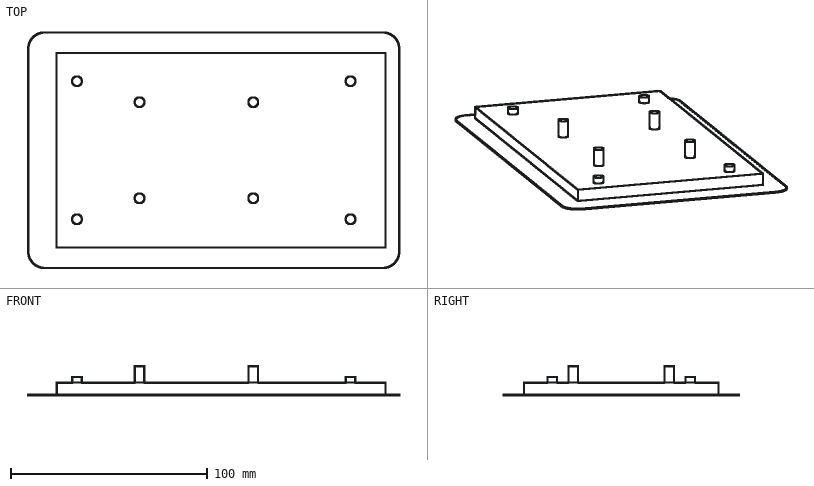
import cadquery as cq

PLATE_LENGTH = 189.32
PLATE_WIDTH = 120.24
PLATE_THICKNESS = 0.5
PLATE_CORNER_RADIUS = 8.5

BLOCK_LENGTH = 167.8
BLOCK_WIDTH = 99.3
BLOCK_HEIGHT = 5.95
BLOCK_CENTER_X = 3.8

PIN_DIAMETER = 5.0

SHORT_PIN_HEIGHT = 3.0
SHORT_PIN_SPACING_X = 139.5
SHORT_PIN_SPACING_Y = 70.4
SHORT_PIN_CENTER_X = 0.0

TALL_PIN_HEIGHT = 8.5
TALL_PIN_SPACING_X = 58.0
TALL_PIN_SPACING_Y = 49.0
TALL_PIN_CENTER_X = -8.85

BLOCK_TOP = PLATE_THICKNESS + BLOCK_HEIGHT


def make_plate():
    """Thin base plate with rounded corners."""
    plate = cq.Workplane("XY").box(
        PLATE_LENGTH, PLATE_WIDTH, PLATE_THICKNESS, centered=(True, True, False)
    )
    return plate.edges("|Z").fillet(PLATE_CORNER_RADIUS)


def make_block():
    """Rectangular block resting on the plate."""
    block = cq.Workplane("XY").box(
        BLOCK_LENGTH, BLOCK_WIDTH, BLOCK_HEIGHT, centered=(True, True, False)
    )
    return block.translate((BLOCK_CENTER_X, 0, PLATE_THICKNESS))


def make_pins(center_x, spacing_x, spacing_y, height):
    """Four pins at the corners of a rectangle, standing on the block."""
    return (
        cq.Workplane("XY", origin=(center_x, 0, BLOCK_TOP))
        .rarray(spacing_x, spacing_y, 2, 2)
        .circle(PIN_DIAMETER / 2)
        .extrude(height)
    )


short_pins = make_pins(SHORT_PIN_CENTER_X, SHORT_PIN_SPACING_X, SHORT_PIN_SPACING_Y, SHORT_PIN_HEIGHT)
tall_pins = make_pins(TALL_PIN_CENTER_X, TALL_PIN_SPACING_X, TALL_PIN_SPACING_Y, TALL_PIN_HEIGHT)

result = make_plate().union(make_block()).union(short_pins).union(tall_pins)